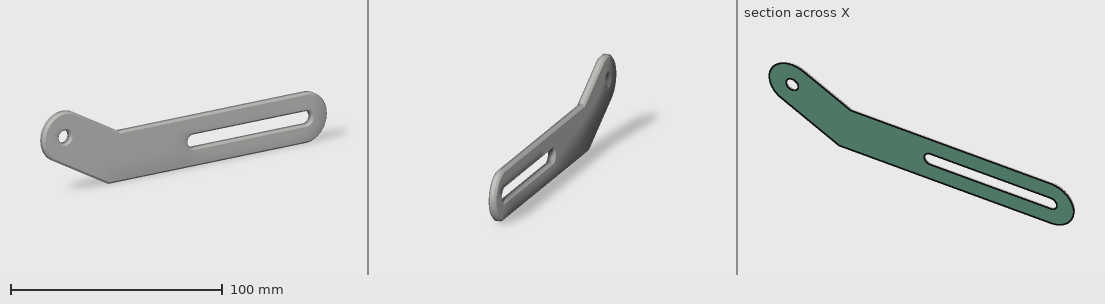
import cadquery as cq
import math

length = 164.7
height = 40.2
thickness = 4.0
bar_width = 25.0
opening_width = 6.5
slot_travel = 65.0
bend_distance = 111.2
edge_chamfer = 1.0

end_radius = bar_width / 2
pivot_y = -(length - bar_width)
pivot_z = height - bar_width
bend_angle = math.atan2(pivot_z, -pivot_y - bend_distance)
miter_offset = end_radius * math.tan(bend_angle / 2)

arm_y, arm_z = -math.cos(bend_angle), math.sin(bend_angle)
normal_y, normal_z = math.sin(bend_angle), math.cos(bend_angle)


def pivot_end_point(along, across):
    """Point near the pivot, offset along the arm and toward its upper side."""
    return (
        pivot_y + along * arm_y + across * normal_y,
        pivot_z + along * arm_z + across * normal_z,
    )


def make_bar():
    """Bent bar of constant width with round ends, centred on its thickness."""
    return (
        cq.Workplane("YZ", origin=(-thickness / 2, 0, 0))
        .moveTo(0, end_radius)
        .lineTo(-bend_distance + miter_offset, end_radius)
        .lineTo(*pivot_end_point(0, end_radius))
        .threePointArc(pivot_end_point(end_radius, 0), pivot_end_point(0, -end_radius))
        .lineTo(-bend_distance - miter_offset, -end_radius)
        .lineTo(0, -end_radius)
        .threePointArc((end_radius, 0), (0, end_radius))
        .close()
        .extrude(thickness)
    )


def cut_openings(bar):
    """Cut the adjustment slot and the pivot hole through the bar."""
    slot = (
        cq.Workplane("YZ")
        .center(-slot_travel / 2, 0)
        .slot2D(slot_travel + opening_width, opening_width)
        .extrude(thickness, both=True)
    )
    hole = (
        cq.Workplane("YZ")
        .center(pivot_y, pivot_z)
        .circle(opening_width / 2)
        .extrude(thickness, both=True)
    )
    return bar.cut(slot).cut(hole)


result = cut_openings(make_bar()).faces("<X or >X").edges().chamfer(edge_chamfer)